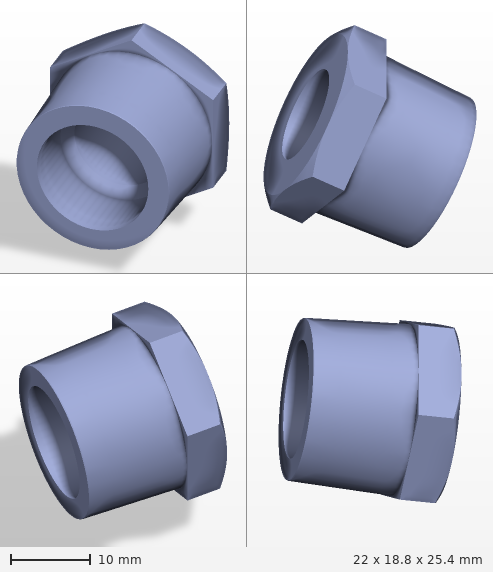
import cadquery as cq
import math

across_flats = 22.0
total_length = 18.8
hex_height = 5.5
hex_half_angle = 30.0
across_corners = across_flats / math.cos(math.radians(hex_half_angle))

spigot_length = total_length - hex_height
spigot_base_diameter = 21.65
spigot_tip_diameter = 20.55
tip_chamfer_depth = 0.04
tip_chamfer_length = 0.15

hex_chamfer_angle = 30.0

bore_diameter = 15.0
bore_depth = 8.1
outlet_diameter = 12.3
step_angle = 45.0
step_length = (bore_diameter - outlet_diameter) / 2 / math.tan(math.radians(step_angle))


def revolve_about_axis(profile):
    """Revolve a list of (radius, y) points a full turn around the Y axis."""
    return cq.Workplane("XY").polyline(profile).close().revolve(360, (0, 0, 0), (0, 1, 0))


def make_hex_head():
    """Hexagon with flats at +X and -X and its outer corners turned to a cone."""
    hexagon = (
        cq.Workplane("XZ", origin=(0, total_length, 0))
        .transformed(rotate=(0, 0, 90))
        .polygon(6, across_corners)
        .extrude(hex_height)
    )
    face_radius = across_flats / 2
    clear_radius = across_corners
    cone_drop = (clear_radius - face_radius) * math.tan(math.radians(hex_chamfer_angle))
    corner_cut = revolve_about_axis([
        (face_radius, total_length),
        (clear_radius, total_length),
        (clear_radius, total_length - cone_drop),
    ])
    return hexagon.cut(corner_cut)


def make_spigot():
    """Tapered spigot with a small chamfer at its tip."""
    tip_radius = spigot_tip_diameter / 2
    return revolve_about_axis([
        (0, 0),
        (tip_radius - tip_chamfer_depth, 0),
        (tip_radius, tip_chamfer_length),
        (spigot_base_diameter / 2, spigot_length),
        (0, spigot_length),
    ])


def make_bore():
    """Wide bore from the spigot tip, narrowing over a cone to the outlet."""
    bore_radius = bore_diameter / 2
    outlet_radius = outlet_diameter / 2
    return revolve_about_axis([
        (0, 0),
        (bore_radius, 0),
        (bore_radius, bore_depth),
        (outlet_radius, bore_depth + step_length),
        (outlet_radius, total_length),
        (0, total_length),
    ])


result = make_hex_head().union(make_spigot()).cut(make_bore())